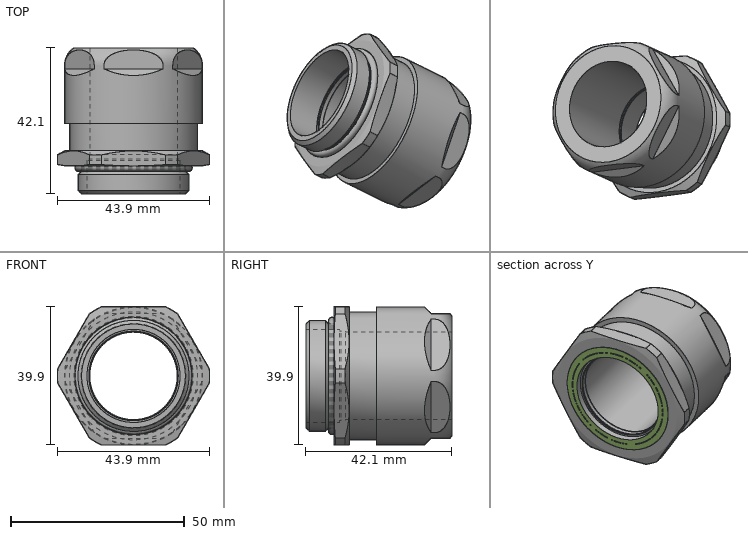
import cadquery as cq
import math

TOTAL_LENGTH = 42.1

THREAD_DIAMETER = 32.0
RELIEF_DIAMETER = 29.9
THREAD_END = 6.63
THREAD_CHAMFER = (THREAD_DIAMETER - RELIEF_DIAMETER) / 2

HEX_ACROSS_FLATS = 39.9
HEX_ACROSS_CORNERS = 43.9
HEX_FACE_DIAMETER = 39.4
HEX_START = 8.07
HEX_END = 12.55
HEX_FRONT_CHAMFER = 0.4
HEX_BACK_ANGLE = 30.0

RING_OUTER_DIAMETER = 33.85
RING_SECTION = 2.0
RING_POSITION = 7.5

NECK_DIAMETER = 36.85
CAP_DIAMETER = 39.7
CAP_START = 20.27
CAP_ROUND_RADIUS = 6.0
CAP_ROUND_START = 37.1
FLAT_ACROSS = 35.9
FLAT_START = 36.03
SIDES = 6

ENTRY_BORE_DIAMETER = 26.8
SEAT_BORE_DIAMETER = 25.8
LIP_BORE_DIAMETER = 25.45
THROUGH_BORE_DIAMETER = 25.2
ENTRY_BORE_END = 9.7
SEAT_BORE_END = 10.1
LIP_BORE_END = 11.3


def cylinder(diameter, start, end):
    """Solid cylinder on the Y axis between two axial positions."""
    return cq.Workplane("XZ", origin=(0, start, 0)).circle(diameter / 2).extrude(start - end)


def revolve_profile(profile):
    """Turn a closed radius / axial profile about the Y axis."""
    return profile.close().revolve(360, (0, 0, 0), (0, 1, 0))


def make_spigot():
    thread = THREAD_DIAMETER / 2
    relief = RELIEF_DIAMETER / 2
    return revolve_profile(
        cq.Workplane("XY")
        .moveTo(0, 0)
        .lineTo(relief, 0)
        .lineTo(thread, THREAD_CHAMFER)
        .lineTo(thread, THREAD_END - THREAD_CHAMFER)
        .lineTo(relief, THREAD_END)
        .lineTo(relief, HEX_START)
        .lineTo(0, HEX_START)
    )


def make_ring():
    section_radius = RING_SECTION / 2
    return (
        cq.Workplane("XY")
        .center(RING_OUTER_DIAMETER / 2 - section_radius, RING_POSITION)
        .circle(section_radius)
        .revolve(360, (section_radius - RING_OUTER_DIAMETER / 2, 0, 0),
                 (section_radius - RING_OUTER_DIAMETER / 2, 1, 0))
    )


def make_flange():
    """Hexagon with its corners turned down and both faces chamfered."""
    corner = HEX_ACROSS_CORNERS / 2
    face = HEX_FACE_DIAMETER / 2
    back_chamfer = (corner - face) * math.tan(math.radians(HEX_BACK_ANGLE))
    envelope = revolve_profile(
        cq.Workplane("XY")
        .moveTo(0, HEX_START)
        .lineTo(face, HEX_START)
        .lineTo(corner, HEX_START + HEX_FRONT_CHAMFER)
        .lineTo(corner, HEX_END - back_chamfer)
        .lineTo(face, HEX_END)
        .lineTo(0, HEX_END)
    )
    circumscribed_diameter = HEX_ACROSS_FLATS / math.cos(math.pi / SIDES)
    hexagon = (
        cq.Workplane("XZ", origin=(0, HEX_START, 0))
        .polygon(SIDES, circumscribed_diameter)
        .extrude(HEX_START - HEX_END)
    )
    return hexagon.intersect(envelope)


def rounding_radius_at(position):
    """Outer radius of the cap's rounded end at an axial position."""
    height = position - CAP_ROUND_START
    return CAP_DIAMETER / 2 - CAP_ROUND_RADIUS + math.sqrt(CAP_ROUND_RADIUS**2 - height**2)


def make_cap():
    """Cap nut with a rounded end and six wrench flats running out at 45 degrees."""
    radius = CAP_DIAMETER / 2
    arc_middle = (CAP_ROUND_START + TOTAL_LENGTH) / 2
    cap = revolve_profile(
        cq.Workplane("XY")
        .moveTo(0, CAP_START)
        .lineTo(radius, CAP_START)
        .lineTo(radius, CAP_ROUND_START)
        .threePointArc(
            (rounding_radius_at(arc_middle), arc_middle),
            (rounding_radius_at(TOTAL_LENGTH), TOTAL_LENGTH),
        )
        .lineTo(0, TOTAL_LENGTH)
    )
    flat = FLAT_ACROSS / 2
    runout = CAP_DIAMETER - FLAT_ACROSS
    cutter = (
        cq.Workplane("YZ")
        .moveTo(FLAT_START, flat)
        .lineTo(TOTAL_LENGTH, flat)
        .lineTo(TOTAL_LENGTH, flat + runout)
        .lineTo(FLAT_START - runout, flat + runout)
        .close()
        .extrude(radius, both=True)
    )
    for side in range(SIDES):
        cap = cap.cut(cutter.rotate((0, 0, 0), (0, 1, 0), side * 360 / SIDES))
    return cap


def make_bore():
    return (
        cylinder(THROUGH_BORE_DIAMETER, 0, TOTAL_LENGTH)
        .union(cylinder(LIP_BORE_DIAMETER, 0, LIP_BORE_END))
        .union(cylinder(SEAT_BORE_DIAMETER, 0, SEAT_BORE_END))
        .union(cylinder(ENTRY_BORE_DIAMETER, 0, ENTRY_BORE_END))
    )


neck = cylinder(NECK_DIAMETER, HEX_END, CAP_START)
body = make_spigot().union(make_ring()).union(make_flange()).union(neck).union(make_cap())
result = body.cut(make_bore())